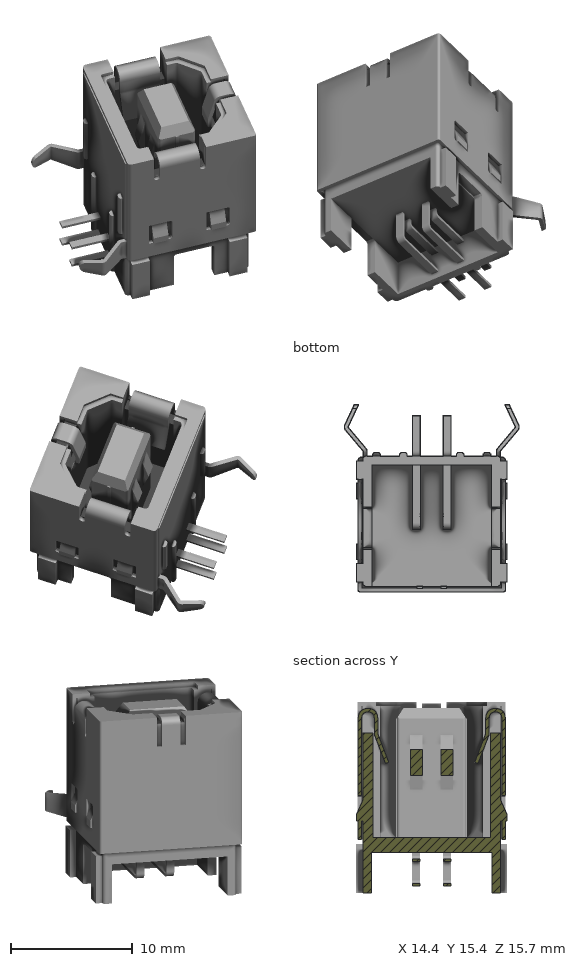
import cadquery as cq


TOTAL_HEIGHT = 15.7
SHELL_HALF_WIDTH = 6.07
FULL_WIDTH = (-SHELL_HALF_WIDTH, SHELL_HALF_WIDTH)
SHELL_DEPTH = 11.1
SHELL_BOTTOM = 4.42
SHEET = 0.33
PLATE_BOTTOM = TOTAL_HEIGHT - SHEET
SHELL_FRONT_RADIUS = 0.3
SHELL_BACK_RADIUS = 0.2
FRONT_WINDOW_HALF_WIDTH = 5.52

HOUSING_HALF_WIDTH = 5.67
HOUSING_FRONT = -0.09
HOUSING_BACK = 10.63
HOUSING_CORNER_RADIUS = 0.29
FLOOR_BOTTOM = 3.34
FLOOR_TOP = 4.6
WALL = 0.75
ARCH_FRONT = 4.09
ARCH_BACK = 7.58
ARCH_TOP = 3.5
ARCH_CORNER = 0.15

CAVITY_HALF_WIDTH = 4.23
CAVITY_FRONT = 1.41
CAVITY_BACK = 9.19
CAVITY_CHAMFER = 1.6
CAVITY_RADIUS = 0.3
PLATE_MARGIN_X = 0.35
PLATE_MARGIN_FRONT = 0.32
PLATE_MARGIN_BACK = 0.37
PLATE_CHAMFER = 1.71
PLATE_CORNER = 0.1

NOTCH_FRONT = 2.22
NOTCH_BACK = 6.74
NOTCH_BOTTOM = 13.2
SLOT_WIDTH = 0.53
SLOT_RADIUS = 0.26
SPRING_POCKET_HALF_WIDTH = 4.83
SPRING_TOP = 15.23
SPRING_BEND = 0.63
SPRING_LEAF_X = 4.42
SPRING_LEAF_BEND_Z = 13.1
SPRING_TIP_X = 3.66
SPRING_TIP_Z = 10.7

LATCH_WIDTH = 1.55
LATCH_NOTCH_WIDTH = 2.46
LATCH_TOP = 15.6
LATCH_BEND = 0.42
LATCH_KNEE_Y = 9.42
LATCH_LEAF = (8.8, 13.2)
LATCH_TIP = (8.8, 12.3)
LATCH_POCKET_STEP_Y = 9.61
LATCH_POCKET_BOTTOM = 11.5
LATCH_SADDLE_Z = 15.0

CORE_HALF_WIDTH = 2.85
CORE_TOP_HALF_WIDTH = 2.3
CORE_FRONT = 3.67
CORE_BACK = 6.9
CORE_TOP_INSET_Y = 0.42
CORE_CHAMFER_HEIGHT = 0.87
CORE_CORNER = 0.25
CORE_RIB_WIDTH = 0.26
CORE_RIB_HEIGHT = 0.07
CONTACT_PITCH = 2.54
CONTACT_WIDTH = 1.03
CONTACT_BULGE = 0.54
CONTACT_BOTTOM = 8.5
CONTACT_TOP = 13.0

PIN_ROWS = ((5.82, 0.7), (4.78, 2.71))
PIN_WIDTH = 0.66
PIN_THICKNESS = 0.24
PIN_BEND = 0.37
PIN_END = -3.42

SIDE_HALF_WIDTH = 6.19
FOOT_HEIGHT = 4.02
FOOT_SPANS = ((0.3, 1.82), (8.74, 10.28))
WINDOW_CENTRES = (2.79, 7.79)
WINDOW_WIDTH = 2.03
WINDOW_BOTTOM = 5.94
WINDOW_TOP = 8.01
WINDOW_CHAMFER = 0.12
BUMP_WIDTH = 1.3
BUMP_RAMP_BOTTOM = 6.54
BUMP_TOP = 7.71
RIB_WIDTH = 0.63
RIB_CHAMFER = 0.14
RIB_BREAK_Z = 6.53
UPPER_RIB_TOP = 10.68
UPPER_RIB_CENTRES = (-4.54, 4.54)
LOWER_RIB_CENTRES = (-2.34, 2.34)
RIB_FRONT = -0.39

CLIP_MID_Z = 5.41
CLIP_START_X = 5.48
CLIP_SHOULDER_Y = -0.55
CLIP_KNEE = (7.075, -2.44)
CLIP_TIP_X = 6.04
CLIP_TIP_Y = -4.32
CLIP_BEND = 0.25
CLIP_ROOT_HALF_HEIGHT = 0.97
CLIP_TAPER_START_Y = -0.7
CLIP_KNEE_HALF_HEIGHT = 0.76
CLIP_NECK_Y = -4.0
CLIP_NECK_HALF_HEIGHT = 0.52


def block(x_span, y_span, z_span):
    """Axis-aligned box between pairs of limits."""
    size = [high - low for low, high in (x_span, y_span, z_span)]
    corner = (x_span[0], y_span[0], z_span[0])
    return cq.Workplane("XY").box(*size, centered=False).translate(corner)


def bent_strip(points, bend_radius, thickness, width, width_axis):
    """Flat strip following a polyline whose corners are rounded to bend_radius on the centreline."""
    vertices = [cq.Vector(*point) for point in points]
    path = cq.Wire.makePolygon(vertices).fillet(bend_radius)
    start = cq.Plane(origin=points[0], xDir=width_axis, normal=(vertices[1] - vertices[0]).toTuple())
    return cq.Workplane(start).rect(width, thickness).sweep(cq.Workplane(obj=path))


def both_sides(solid):
    """The solid together with its mirror image across X = 0."""
    return solid.union(solid.mirror("YZ"))


def opening(half_width, front, back, chamfer, z_bottom):
    """Prism of the plug opening: a rectangle with two chamfered rear corners, up through the top."""
    shoulder = back - chamfer
    flat = half_width - chamfer
    outline = [
        (-half_width, front), (half_width, front), (half_width, shoulder),
        (flat, back), (-flat, back), (-half_width, shoulder),
    ]
    return cq.Workplane("XY", origin=(0, 0, z_bottom)).polyline(outline).close().extrude(TOTAL_HEIGHT - z_bottom)


def latch_notch(front, back, bottom):
    half = LATCH_NOTCH_WIDTH / 2
    return block((-half, half), (front, back), (bottom, TOTAL_HEIGHT))


def make_housing():
    body = block((-HOUSING_HALF_WIDTH, HOUSING_HALF_WIDTH), (HOUSING_FRONT, HOUSING_BACK), (0, PLATE_BOTTOM))
    body = body.edges("|Z").fillet(HOUSING_CORNER_RADIUS)

    cavity = opening(CAVITY_HALF_WIDTH, CAVITY_FRONT, CAVITY_BACK, CAVITY_CHAMFER, FLOOR_TOP)
    body = body.cut(cavity.edges("|Z").fillet(CAVITY_RADIUS))
    pocket_half = SPRING_POCKET_HALF_WIDTH
    body = body.cut(block((-pocket_half, pocket_half), (NOTCH_FRONT, NOTCH_BACK), (FLOOR_TOP, TOTAL_HEIGHT)))
    body = body.cut(block(FULL_WIDTH, (NOTCH_FRONT, NOTCH_BACK), (NOTCH_BOTTOM, TOTAL_HEIGHT)))
    body = body.cut(latch_notch(CAVITY_BACK - WALL, LATCH_POCKET_STEP_Y, LATCH_POCKET_BOTTOM))
    body = body.cut(latch_notch(LATCH_POCKET_STEP_Y, SHELL_DEPTH, LATCH_SADDLE_Z))

    inner_half = HOUSING_HALF_WIDTH - WALL
    body = body.cut(block((-inner_half, inner_half), (HOUSING_FRONT + WALL, SHELL_DEPTH), (0, FLOOR_BOTTOM)))
    arch = block((inner_half, SHELL_HALF_WIDTH), (ARCH_FRONT, ARCH_BACK), (0, ARCH_TOP))
    return body.cut(both_sides(arch.edges("|X and >Z").chamfer(ARCH_CORNER)))


def make_feet():
    feet = cq.Workplane("XY")
    for span in FOOT_SPANS:
        feet = feet.union(block((HOUSING_HALF_WIDTH - WALL, SIDE_HALF_WIDTH), span, (0, FOOT_HEIGHT)))
    return both_sides(feet)


def make_bumps():
    """Ramped catches of the housing that sit in the shell windows."""
    bumps = cq.Workplane("XY")
    profile = [
        (HOUSING_HALF_WIDTH, WINDOW_BOTTOM), (SIDE_HALF_WIDTH, WINDOW_BOTTOM),
        (SIDE_HALF_WIDTH, BUMP_RAMP_BOTTOM), (HOUSING_HALF_WIDTH, BUMP_TOP),
    ]
    for centre in WINDOW_CENTRES:
        plane = cq.Workplane("XZ", origin=(0, centre, 0))
        bumps = bumps.union(plane.polyline(profile).close().extrude(BUMP_WIDTH / 2, both=True))
    return both_sides(bumps)


def make_rib(centre, z_bottom, z_top):
    span = (centre - RIB_WIDTH / 2, centre + RIB_WIDTH / 2)
    rib = block(span, (RIB_FRONT, HOUSING_FRONT + WALL), (z_bottom, z_top))
    return rib.edges("|Z and <Y").chamfer(RIB_CHAMFER)


def make_ribs():
    ribs = cq.Workplane("XY")
    for centre in UPPER_RIB_CENTRES:
        ribs = ribs.union(make_rib(centre, RIB_BREAK_Z, UPPER_RIB_TOP))
    for centre in LOWER_RIB_CENTRES:
        ribs = ribs.union(make_rib(centre, 0, RIB_BREAK_Z))
    return ribs


def make_core():
    """Tongue carrying the contacts, with a sloped border around its top."""
    shoulder = SPRING_TOP - CORE_CHAMFER_HEIGHT
    mid_y = (CORE_FRONT + CORE_BACK) / 2
    depth = CORE_BACK - CORE_FRONT
    stem = block((-CORE_HALF_WIDTH, CORE_HALF_WIDTH), (CORE_FRONT, CORE_BACK), (FLOOR_BOTTOM, shoulder))
    stem = stem.edges("|Z").fillet(CORE_CORNER)
    cap = (
        cq.Workplane("XY", origin=(0, mid_y, shoulder))
        .rect(2 * CORE_HALF_WIDTH, depth)
        .workplane(offset=CORE_CHAMFER_HEIGHT)
        .rect(2 * CORE_TOP_HALF_WIDTH, depth - 2 * CORE_TOP_INSET_Y)
        .loft(ruled=True)
    )
    corner_trim = block((-CORE_HALF_WIDTH, CORE_HALF_WIDTH), (CORE_FRONT, CORE_BACK), (shoulder, SPRING_TOP))
    cap = cap.intersect(corner_trim.edges("|Z").fillet(CORE_CORNER))
    rib_half = CORE_HALF_WIDTH + CORE_RIB_HEIGHT
    rib_span = (mid_y - CORE_RIB_WIDTH / 2, mid_y + CORE_RIB_WIDTH / 2)
    return stem.union(cap).union(block((-rib_half, rib_half), rib_span, (FLOOR_BOTTOM, shoulder)))


def make_contacts():
    """Four contact springs, bent outwards at mid height, on the front and back of the tongue."""
    contacts = cq.Workplane("XY")
    mid_z = (CONTACT_BOTTOM + CONTACT_TOP) / 2
    for face, outward in ((CORE_FRONT, -1), (CORE_BACK, 1)):
        root = face - outward * CORE_CORNER
        for x in (-CONTACT_PITCH / 2, CONTACT_PITCH / 2):
            spring = (
                cq.Workplane("YZ", origin=(x, 0, 0))
                .moveTo(root, CONTACT_BOTTOM)
                .lineTo(face, CONTACT_BOTTOM)
                .lineTo(face + outward * CONTACT_BULGE, mid_z)
                .lineTo(face, CONTACT_TOP)
                .lineTo(root, CONTACT_TOP)
                .close()
                .extrude(CONTACT_WIDTH / 2, both=True)
            )
            contacts = contacts.union(spring)
    return contacts


def make_pins():
    pins = cq.Workplane("XY")
    for x in (-CONTACT_PITCH / 2, CONTACT_PITCH / 2):
        for upright_y, tail_z in PIN_ROWS:
            path = [(x, upright_y, FLOOR_TOP), (x, upright_y, tail_z), (x, PIN_END, tail_z)]
            pins = pins.union(bent_strip(path, PIN_BEND, PIN_THICKNESS, PIN_WIDTH, (1, 0, 0)))
    return pins


def make_shell():
    """Folded sheet box: top plate, two sides, back and two narrow front strips."""
    shell = block(FULL_WIDTH, (0, SHELL_DEPTH), (SHELL_BOTTOM, TOTAL_HEIGHT))
    shell = shell.edges("|Z and <Y").fillet(SHELL_FRONT_RADIUS)
    shell = shell.edges("|Z and >Y").fillet(SHELL_BACK_RADIUS)
    inner_half = SHELL_HALF_WIDTH - SHEET
    shell = shell.cut(block((-inner_half, inner_half), (SHEET, SHELL_DEPTH - SHEET), (0, PLATE_BOTTOM)))
    window_half = FRONT_WINDOW_HALF_WIDTH
    shell = shell.cut(block((-window_half, window_half), (0, SHEET), (0, PLATE_BOTTOM)))
    shell = shell.cut(opening(
        CAVITY_HALF_WIDTH + PLATE_MARGIN_X, CAVITY_FRONT - PLATE_MARGIN_FRONT,
        CAVITY_BACK + PLATE_MARGIN_BACK, PLATE_CHAMFER, PLATE_BOTTOM,
    ).edges("|Z and <Y").chamfer(PLATE_CORNER))
    spring_span = (NOTCH_FRONT + SLOT_WIDTH, NOTCH_BACK - SLOT_WIDTH)
    for span in ((NOTCH_FRONT, spring_span[0]), (spring_span[1], NOTCH_BACK)):
        slot = block(FULL_WIDTH, span, (NOTCH_BOTTOM, TOTAL_HEIGHT))
        shell = shell.cut(slot.edges("|X and <Z").fillet(SLOT_RADIUS))
    shell = shell.cut(block(FULL_WIDTH, spring_span, (NOTCH_BOTTOM, TOTAL_HEIGHT)))
    shell = shell.cut(latch_notch(CAVITY_BACK, SHELL_DEPTH, NOTCH_BOTTOM))
    for centre in WINDOW_CENTRES:
        span = (centre - WINDOW_WIDTH / 2, centre + WINDOW_WIDTH / 2)
        window = block(FULL_WIDTH, span, (WINDOW_BOTTOM, WINDOW_TOP))
        shell = shell.cut(window.edges("|X and >Y").chamfer(WINDOW_CHAMFER))
    return shell


def make_side_springs():
    """Tongues of the side walls rolled over the top and bent down into the cavity."""
    wall_x = SHELL_HALF_WIDTH - SHEET / 2
    crest_z = SPRING_TOP - SHEET / 2
    leaf_x = SPRING_LEAF_X + SHEET / 2
    mid_y = (NOTCH_FRONT + NOTCH_BACK) / 2
    path = [
        (wall_x, mid_y, NOTCH_BOTTOM), (wall_x, mid_y, crest_z), (leaf_x, mid_y, crest_z),
        (leaf_x, mid_y, SPRING_LEAF_BEND_Z), (SPRING_TIP_X, mid_y, SPRING_TIP_Z),
    ]
    width = NOTCH_BACK - NOTCH_FRONT - 2 * SLOT_WIDTH
    return both_sides(bent_strip(path, SPRING_BEND, SHEET, width, (0, 1, 0)))


def make_latch():
    """Tongue of the back wall bent forward over the housing and down into the cavity."""
    wall_y = SHELL_DEPTH - SHEET / 2
    crest_z = LATCH_TOP - SHEET / 2
    path = [
        (0, wall_y, NOTCH_BOTTOM), (0, wall_y, crest_z), (0, LATCH_KNEE_Y, crest_z),
        (0, *LATCH_LEAF), (0, *LATCH_TIP),
    ]
    return bent_strip(path, LATCH_BEND, SHEET, LATCH_WIDTH, (1, 0, 0))


def make_clips():
    """Kinked board clips running forward from the front strips, tapered to a rounded tip."""
    path = [
        (CLIP_START_X, SHEET, CLIP_MID_Z), (CLIP_START_X, CLIP_SHOULDER_Y, CLIP_MID_Z),
        (*CLIP_KNEE, CLIP_MID_Z), (CLIP_TIP_X, CLIP_TIP_Y - SHEET, CLIP_MID_Z),
    ]
    strip = bent_strip(path, CLIP_BEND, SHEET, 2 * CLIP_ROOT_HALF_HEIGHT, (0, 0, 1))
    upper = [
        (SHELL_DEPTH, CLIP_ROOT_HALF_HEIGHT), (CLIP_TAPER_START_Y, CLIP_ROOT_HALF_HEIGHT),
        (CLIP_KNEE[1], CLIP_KNEE_HALF_HEIGHT), (CLIP_NECK_Y, CLIP_NECK_HALF_HEIGHT),
    ]
    lower = [(y, -z) for y, z in reversed(upper)]
    outline = (
        cq.Workplane("YZ", origin=(0, 0, CLIP_MID_Z))
        .polyline(upper)
        .threePointArc((CLIP_TIP_Y, 0), lower[0])
    )
    for point in lower[1:]:
        outline = outline.lineTo(*point)
    reach = CLIP_KNEE[0] + SHEET
    return both_sides(strip.intersect(outline.close().extrude(reach)))


result = make_housing()
for piece in (
    make_feet(), make_bumps(), make_ribs(), make_core(), make_contacts(), make_pins(),
    make_shell(), make_side_springs(), make_latch(), make_clips(),
):
    result = result.union(piece)